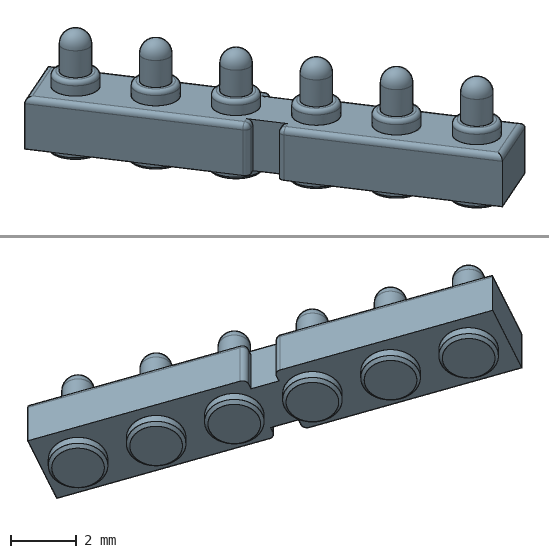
import cadquery as cq


housing_length = 15.1
housing_width = 2.5
housing_height = 1.72
waist_length = 0.9
waist_width = 1.69
housing_fillet = 0.2

pin_count = 6
pin_pitch = 2.54
pin_row_offset = 0.05
barrel_diameter = 1.5
barrel_rise = 0.5
barrel_fillet = 0.15
flange_diameter = 1.81
flange_thickness = 0.38
flange_chamfer = 0.1
plunger_diameter = 1.0
plunger_rise = 1.4

half_length = housing_length / 2
barrel_radius = barrel_diameter / 2
flange_radius = flange_diameter / 2
plunger_radius = plunger_diameter / 2
barrel_top = housing_height + barrel_rise
plunger_tip = barrel_top + plunger_rise
dome_base = plunger_tip - plunger_radius
first_pin_x = pin_row_offset - (pin_count - 1) * pin_pitch / 2
pin_places = [first_pin_x + i * pin_pitch for i in range(pin_count)]


def make_end_block(side):
    """Block at one end (side is -1 or +1): rounded on top and at the corners facing the waist."""
    block_length = (housing_length - waist_length) / 2
    inward_face = "<X" if side > 0 else ">X"
    block = cq.Workplane("XY").box(
        block_length, housing_width, housing_height, centered=(True, True, False)
    )
    top_edges = block.faces(">Z").edges()
    waist_corners = block.faces(inward_face).edges("|Z")
    block = top_edges.add(waist_corners).fillet(housing_fillet)
    return block.translate((side * (half_length - block_length / 2), 0, 0))


def make_housing():
    """Two end blocks joined by a sharp-edged waist, with a through bore for each pin."""
    waist = cq.Workplane("XY").box(
        waist_length + 2 * housing_fillet, waist_width, housing_height, centered=(True, True, False)
    )
    body = make_end_block(-1).union(waist).union(make_end_block(1))
    bores = (
        cq.Workplane("XY")
        .pushPoints([(x, 0) for x in pin_places])
        .circle(barrel_radius)
        .extrude(housing_height)
    )
    return body.cut(bores)


def make_pin(x):
    """Turned pin: flange below the housing, barrel through it and a domed plunger on top."""
    flange = (
        cq.Workplane("XY")
        .circle(flange_radius)
        .extrude(-flange_thickness)
        .faces("<Z")
        .chamfer(flange_chamfer)
    )
    barrel = (
        cq.Workplane("XY")
        .circle(barrel_radius)
        .extrude(barrel_top)
        .faces(">Z")
        .edges()
        .fillet(barrel_fillet)
    )
    plunger = cq.Workplane("XY").circle(plunger_radius).extrude(dome_base)
    dome = cq.Workplane("XY").sphere(plunger_radius).translate((0, 0, dome_base))
    pin = flange.union(barrel).union(plunger).union(dome)
    return pin.translate((x, 0, 0))


housing = make_housing()
pins = [make_pin(x) for x in pin_places]
result = cq.Compound.makeCompound([housing.val(), *[pin.val() for pin in pins]])